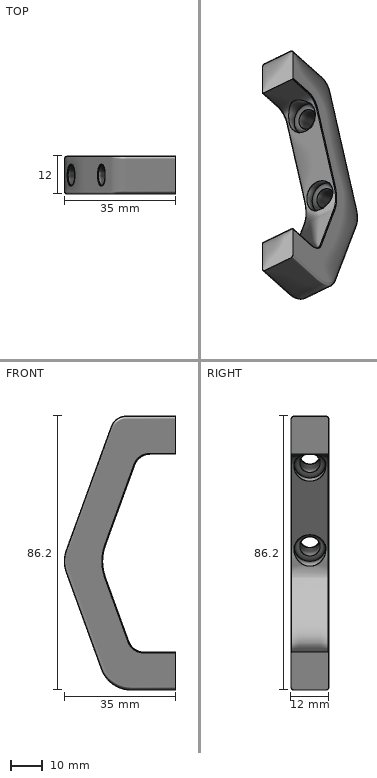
import cadquery as cq
import math

height = 86.2
depth = 35.0
width = 12.0

lean = math.radians(20)
arm_thickness = 11.0
foot_thickness = 12.0
bend_z = 40.5

outer_bend_radius = 10.0
inner_bend_radius = 15.0
top_outer_radius = 5.0
bottom_outer_radius = 10.0
foot_inner_radius = 5.0

outer_edge_radius = 1.0
inner_edge_break = 0.3

hole_diameter = 6.4
mouth_diameter = 6.9
head_diameter = 10.0
head_depth = 3.0
hole_spacing = 27.9
upper_hole_z = 74.2

outer_bend_x = -depth - outer_bend_radius * (1 / math.cos(lean) - 1)
inner_bend_x = outer_bend_x + arm_thickness / math.cos(lean)


def arm_x(bend_x, z):
    """X of an arm face at height z, for the face that meets the bend at bend_x."""
    return bend_x + abs(z - bend_z) * math.tan(lean)


def corner(bend_x, z):
    return (arm_x(bend_x, z), z)


def edges_at(body, point):
    """Edges running along Y through an outline corner."""
    x, z = point
    reach = 0.1
    box = cq.selectors.BoxSelector((x - reach, -width, z - reach), (x + reach, width, z + reach))
    return body.edges("|Y").edges(box)


outer_top = corner(outer_bend_x, height)
outer_bend = (outer_bend_x, bend_z)
outer_bottom = corner(outer_bend_x, 0)
foot_tip_bottom = (0, foot_thickness)
inner_bottom = corner(inner_bend_x, foot_thickness)
inner_bend = (inner_bend_x, bend_z)
inner_top = corner(inner_bend_x, height - foot_thickness)
foot_tip_top = (0, height - foot_thickness)


def make_bar():
    outline = [
        (0, height), outer_top, outer_bend, outer_bottom, (0, 0),
        foot_tip_bottom, inner_bottom, inner_bend, inner_top, foot_tip_top,
    ]
    bar = cq.Workplane("XZ").polyline(outline).close().extrude(width / 2, both=True)
    corner_radii = [
        (outer_top, top_outer_radius),
        (outer_bend, outer_bend_radius),
        (outer_bottom, bottom_outer_radius),
        (inner_bottom, foot_inner_radius),
        (inner_bend, inner_bend_radius),
        (inner_top, foot_inner_radius),
    ]
    for point, radius in corner_radii:
        bar = edges_at(bar, point).fillet(radius)
    return bar


def side_edge(body, foot_z, side):
    """Long edge of a foot on one side face; its tangent chain runs on to the other foot."""
    near_mounting_face = -foot_thickness / 2
    edge_point = (near_mounting_face, side * width / 2, foot_z)
    return body.edges(cq.selectors.NearestToPointSelector(edge_point))


def soften_long_edges(bar):
    """Round the outer edges and break the inner ones; the mounting faces stay sharp."""
    for side in (-1, 1):
        bar = side_edge(bar, height, side).fillet(outer_edge_radius)
        bar = side_edge(bar, height - foot_thickness, side).chamfer(inner_edge_break)
    return bar


def screw_hole_cutter():
    """Stepped cutter about +X, with X = 0 on the outer arm face."""
    hole_radius = hole_diameter / 2
    mouth_radius = mouth_diameter / 2
    head_radius = head_diameter / 2
    mouth_depth = mouth_radius - hole_radius
    seat_x = arm_thickness - head_depth
    clear_x = 2 * arm_thickness
    profile = [
        (0, 0), (0, mouth_radius), (mouth_depth, hole_radius), (seat_x, hole_radius),
        (seat_x, head_radius), (clear_x, head_radius), (clear_x, 0),
    ]
    return cq.Workplane("XZ").polyline(profile).close().revolve(360, (0, 0), (1, 0))


def cut_holes(bar):
    cutter = screw_hole_cutter().rotate((0, 0, 0), (0, 1, 0), math.degrees(lean))
    for distance in (0, hole_spacing):
        z = upper_hole_z - distance * math.cos(lean)
        bar = bar.cut(cutter.translate((arm_x(outer_bend_x, z), 0, z)))
    return bar


result = cut_holes(soften_long_edges(make_bar()))